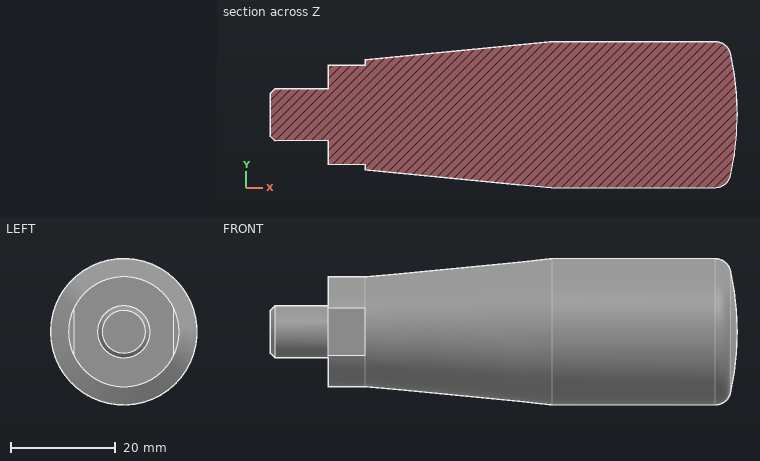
import cadquery as cq
import math

total_length = 89.0
grip_diameter = 28.0
collar_diameter = 21.0
stud_diameter = 10.0

stud_length = 11.0
stud_chamfer = 0.9
collar_length = 7.0
taper_length = 35.6
rim_radius = 3.0
dome_radius = 53.4

flats_width = 19.0

grip_radius = grip_diameter / 2
collar_radius = collar_diameter / 2
stud_radius = stud_diameter / 2
collar_start = stud_length
taper_start = collar_start + collar_length
grip_start = taper_start + taper_length


def make_body():
    """Revolve the stud, collar, tapered neck and grip with its domed end."""
    rim_center_radius = grip_radius - rim_radius
    dome_center_x = total_length - dome_radius
    rim_center_x = dome_center_x + math.sqrt((dome_radius - rim_radius) ** 2 - rim_center_radius**2)
    dome_angle = math.atan2(rim_center_radius, rim_center_x - dome_center_x)
    rim_mid_angle = (dome_angle + math.pi / 2) / 2

    def on_dome(angle):
        return (dome_center_x + dome_radius * math.cos(angle), dome_radius * math.sin(angle))

    rim_middle = (
        rim_center_x + rim_radius * math.cos(rim_mid_angle),
        rim_center_radius + rim_radius * math.sin(rim_mid_angle),
    )
    profile = (
        cq.Workplane("XY")
        .moveTo(0, 0)
        .lineTo(0, stud_radius - stud_chamfer)
        .lineTo(stud_chamfer, stud_radius)
        .lineTo(collar_start, stud_radius)
        .lineTo(collar_start, collar_radius)
        .lineTo(taper_start, collar_radius)
        .lineTo(grip_start, grip_radius)
        .lineTo(rim_center_x, grip_radius)
        .threePointArc(rim_middle, on_dome(dome_angle))
        .threePointArc(on_dome(dome_angle / 2), (total_length, 0))
        .close()
    )
    return profile.revolve(360, (0, 0, 0), (1, 0, 0))


def cut_flats(body):
    """Cut two parallel wrench flats, facing +Y and -Y, along the whole collar."""
    for side in (-1, 1):
        flat_cutter = (
            cq.Workplane("XY")
            .box(collar_length, collar_diameter, collar_diameter)
            .translate((
                collar_start + collar_length / 2,
                side * (flats_width + collar_diameter) / 2,
                0,
            ))
        )
        body = body.cut(flat_cutter)
    return body


result = cut_flats(make_body())